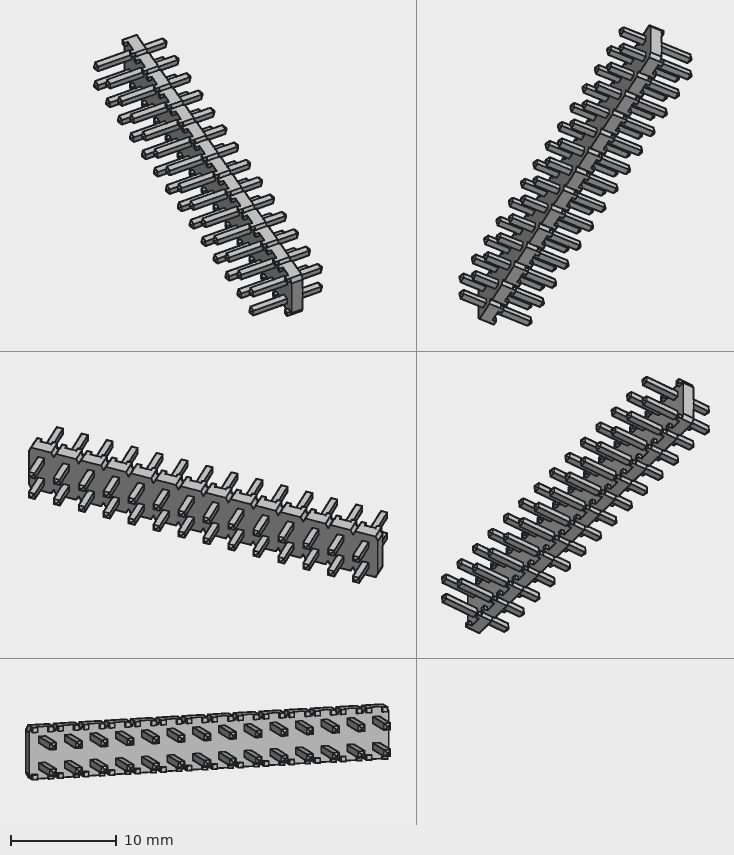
import cadquery as cq

columns = 14
rows = 2
length = 35.55
pitch = length / columns
body_height = 5.0

body_back = 1.17
body_front = 0.0
body_depth = body_back - body_front
chamfer_width = 0.25
chamfer_height = 0.5

peg_width = 0.45
peg_height = peg_width
peg_depth = 0.35

pin_length = 7.6
pin_width = 0.65
tip_length = 0.25
tip_width = pin_width - 2 * tip_length
shank_length = pin_length - 2 * tip_length

column_places = [pitch * (i - (columns - 1) / 2) for i in range(columns)]
row_places = [pitch * (i - (rows - 1) / 2) for i in range(rows)]


def make_body():
    """Row of equal blocks whose sloped corners leave V notches between the cells."""
    half_height = body_height / 2
    shoulder = half_height - chamfer_height
    half_cell = pitch / 2
    half_flat = half_cell - chamfer_width

    upper_edge = []
    for x in column_places:
        upper_edge += [
            (x - half_cell, shoulder),
            (x - half_flat, half_height),
            (x + half_flat, half_height),
        ]
    upper_edge.append((length / 2, shoulder))
    lower_edge = [(x, -z) for x, z in reversed(upper_edge)]

    return (
        cq.Workplane("XZ", origin=(0, body_back, 0))
        .polyline(upper_edge + lower_edge)
        .close()
        .extrude(body_depth)
    )


def make_pegs():
    """Four small pegs on the front face of every cell, one at each corner."""
    peg_offset = pitch / 2 - chamfer_width - peg_width / 2
    peg_z = body_height / 2 - peg_height / 2
    centres = [
        (x + side * peg_offset, level * peg_z)
        for x in column_places
        for side in (-1, 1)
        for level in (-1, 1)
    ]
    return (
        cq.Workplane("XZ", origin=(0, body_front, 0))
        .pushPoints(centres)
        .rect(peg_width, peg_height)
        .extrude(peg_depth)
    )


def make_pin():
    """Square pin along Y, centred on the origin, tapered at both ends."""
    shank = cq.Workplane("XY").box(pin_width, shank_length, pin_width)
    front_tip = (
        cq.Workplane("XZ", origin=(0, -shank_length / 2, 0))
        .rect(pin_width, pin_width)
        .workplane(offset=tip_length)
        .rect(tip_width, tip_width)
        .loft(ruled=True)
    )
    return shank.union(front_tip).union(front_tip.mirror("XZ"))


body = make_body().union(make_pegs())
pin = make_pin().val()
pins = [
    pin.translate(cq.Vector(x, 0, z))
    for x in column_places
    for z in row_places
]
result = cq.Workplane(body.val().fuse(*pins))